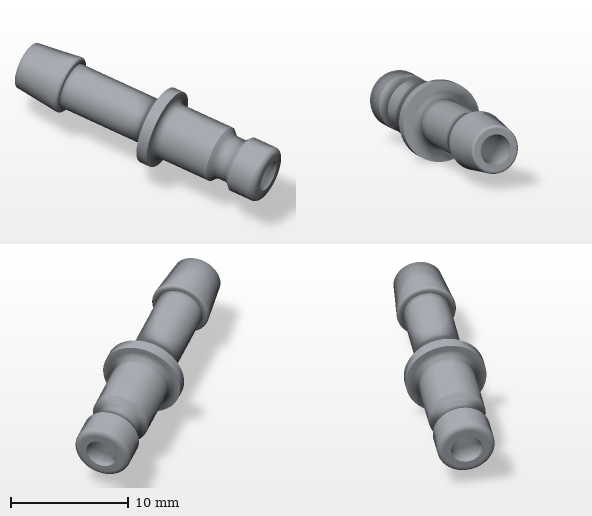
import cadquery as cq

total_length = 24.0
bore_diameter = 2.7
edge_radius = 0.5

barb_length = 4.5
barb_tip_diameter = 4.2
barb_back_diameter = 5.2
barb_edge_radius = 0.25
stem_diameter = 4.1

collar_start = 12.95
collar_width = 1.0
collar_diameter = 7.0
collar_end = collar_start + collar_width

plug_diameter = 5.0
groove_diameter = 3.95
groove_start = 19.27
groove_mouth_width = 2.15
groove_depth = (plug_diameter - groove_diameter) / 2
groove_end = groove_start + groove_mouth_width


def cylinder(start, end, diameter):
    """Solid round bar along X."""
    return cq.Workplane("YZ", origin=(start, 0, 0)).circle(diameter / 2).extrude(end - start)


def make_barb():
    """Tapered barb with both rims rounded."""
    profile = (
        cq.Workplane("XY")
        .lineTo(0, barb_tip_diameter / 2)
        .lineTo(barb_length, barb_back_diameter / 2)
        .lineTo(barb_length, 0)
        .close()
    )
    cone = profile.revolve(360, (0, 0, 0), (1, 0, 0))
    return cone.faces("<X or >X").edges().fillet(barb_edge_radius)


def make_stem():
    """Plain hose stem, filleted into the collar."""
    stem = cylinder(barb_length, collar_start, stem_diameter)
    return stem.union(make_root(collar_start, -1, stem_diameter))


def make_root(face_position, direction, diameter):
    """Concave ring blending a bar into a collar face."""
    bar_radius = diameter / 2
    outer_radius = bar_radius + edge_radius
    bar_tangent = face_position + direction * edge_radius
    arc_offset = edge_radius * (1 - 0.5 ** 0.5)
    profile = (
        cq.Workplane("XY")
        .moveTo(face_position, 0)
        .lineTo(face_position, outer_radius)
        .threePointArc(
            (face_position + direction * arc_offset, bar_radius + arc_offset),
            (bar_tangent, bar_radius),
        )
        .lineTo(bar_tangent, 0)
        .close()
    )
    return profile.revolve(360, (0, 0, 0), (1, 0, 0))


def make_plug():
    """Plug with rounded free end, locking groove and collar root."""
    plug = cylinder(collar_end, total_length, plug_diameter)
    plug = plug.faces(">X").edges().fillet(edge_radius)
    groove_floor = groove_diameter / 2
    groove_ring = (
        cq.Workplane("XY")
        .moveTo(groove_start, plug_diameter / 2)
        .lineTo(groove_start + groove_depth, groove_floor)
        .lineTo(groove_end - groove_depth, groove_floor)
        .lineTo(groove_end, plug_diameter / 2)
        .close()
        .revolve(360, (0, 0, 0), (1, 0, 0))
        .edges(cq.selectors.RadiusNthSelector(0))
        .fillet(edge_radius)
    )
    return plug.cut(groove_ring).union(make_root(collar_end, 1, plug_diameter))


collar = cylinder(collar_start, collar_end, collar_diameter)
body = make_stem().union(make_barb()).union(collar).union(make_plug())
result = body.cut(cylinder(0, total_length, bore_diameter))